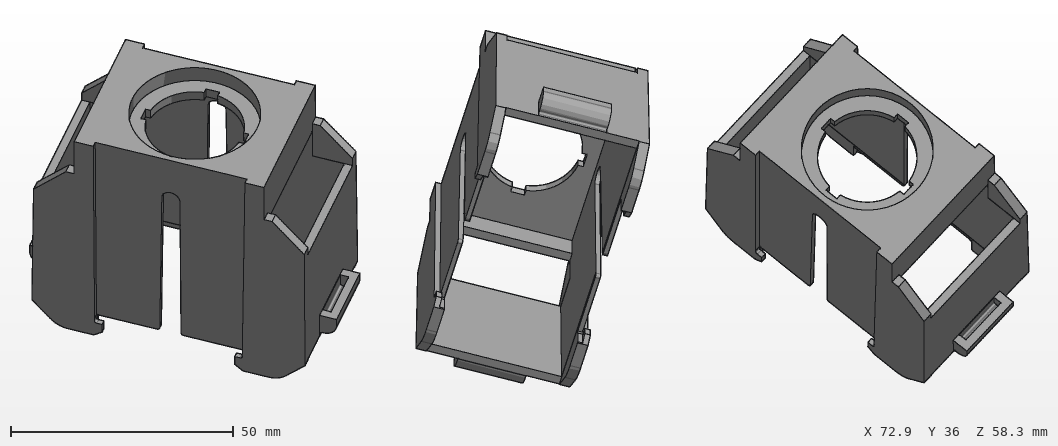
import cadquery as cq
import math

DRAFT = math.tan(math.radians(0.5))

HEIGHT = 58.25
OVERALL_LENGTH = 72.9
BASE_WIDTH = 36.0

block_half_x = 22.5
flank_half_x = 32.0
body_half_y = BASE_WIDTH / 2 - DRAFT * HEIGHT
panel_half_y = 16.2
slot_half_x = 2.05
cavity_half_y = 15.0
wall_cavity_half_x = 30.0
block_cavity_half_x = 20.5

shoulder_z = 48.3
shoulder_half_x = 24.5
flank_chamfer_z = 40.5
foot_chamfer_z = 6.3
foot_round_radius = 5.8
panel_bottom_z = 5.2
end_wall_bottom_z = 6.5
end_wall_top_z = 38.35
window_top_z = 46.0
window_half_y = 15.2

recess_half_x = 18.0
slot_top_z = 48.3
slot_corner_radius = 0.7

hook_half_x = 15.75
hook_top_z = 3.85
hook_nose_z = 1.45
hook_base_half_x = 17.7
hook_root_radius = 0.5

counterbore_radius = 14.8
counterbore_depth = 4.0
ring_thickness = 2.4
bore_radius = 11.15
key_width = 3.2
key_reach = 12.25

latch_half_y = 7.95
latch_thickness = 2.0
latch_top_z = 12.8
latch_bottom_z = 7.65
latch_round_radius = 3.2
latch_root_radius = 0.5
latch_root_x = 32.5
latch_inside_x = latch_root_x - latch_thickness / 2

ceiling_z = HEIGHT - counterbore_depth - ring_thickness


def leaning(half_at_top, z):
    """Half size at height z of a shape that widens downwards with the draft."""
    return half_at_top + DRAFT * (HEIGHT - z)


def recess_half(z):
    """Half width at height z of the panel recess, which narrows downwards."""
    return recess_half_x - DRAFT * (HEIGHT - z)


def front_trapezoid(bottom_half_x, top_half_x):
    """Full-width prism along Y from the panel bottom up to the top face."""
    return (
        cq.Workplane("XZ")
        .moveTo(-bottom_half_x, panel_bottom_z)
        .lineTo(bottom_half_x, panel_bottom_z)
        .lineTo(top_half_x, HEIGHT)
        .lineTo(-top_half_x, HEIGHT)
        .close()
        .extrude(BASE_WIDTH / 2, both=True)
    )


def drafted_box(half_x, half_y, bottom, top):
    """Box from bottom to top whose four sides lean outward downwards."""
    lower = (2 * leaning(half_x, bottom), 2 * leaning(half_y, bottom))
    upper = (2 * leaning(half_x, top), 2 * leaning(half_y, top))
    return (
        cq.Workplane("XY").workplane(offset=bottom).rect(*lower)
        .workplane(offset=top - bottom).rect(*upper).loft(ruled=True)
    )


def both_ends(shape):
    """Join a shape on the +X side with its mirror image on the -X side."""
    return shape.union(shape.mirror("YZ"))


def flank():
    """One flank with its hooked foot, spanning the full width."""
    foot_x = leaning(flank_half_x, foot_chamfer_z)
    foot_corner_x = foot_x - foot_chamfer_z
    half_arc = math.radians(45) / 2
    tangent = foot_round_radius * math.tan(half_arc)
    arc_start = (foot_corner_x + tangent / math.sqrt(2), tangent / math.sqrt(2))
    arc_end = (foot_corner_x - tangent, 0)
    arc_middle = (
        arc_end[0] + foot_round_radius * math.sin(half_arc),
        foot_round_radius * (1 - math.cos(half_arc)),
    )
    inner_x = recess_half(hook_top_z)
    return (
        cq.Workplane("XZ")
        .moveTo(0, shoulder_z)
        .lineTo(shoulder_half_x, shoulder_z)
        .lineTo(leaning(flank_half_x, flank_chamfer_z), flank_chamfer_z)
        .lineTo(foot_x, foot_chamfer_z)
        .lineTo(*arc_start)
        .threePointArc(arc_middle, arc_end)
        .lineTo(hook_base_half_x, 0)
        .lineTo(hook_half_x, hook_nose_z)
        .lineTo(hook_half_x, hook_top_z)
        .lineTo(inner_x - hook_root_radius, hook_top_z)
        .radiusArc((inner_x, hook_top_z + hook_root_radius), -hook_root_radius)
        .lineTo(inner_x, panel_bottom_z)
        .lineTo(0, panel_bottom_z)
        .close()
        .extrude(BASE_WIDTH / 2, both=True)
    )


def outer_body():
    """Block and flanks, with the long sides trimmed to the draft."""
    block = front_trapezoid(leaning(block_half_x, panel_bottom_z), block_half_x)
    envelope = drafted_box(OVERALL_LENGTH, body_half_y, 0, HEIGHT)
    return block.union(both_ends(flank())).intersect(envelope)


def panel_recesses():
    """Shallow recesses that set the central panels back from the flanks."""
    opening = front_trapezoid(recess_half(panel_bottom_z), recess_half_x)
    return opening.cut(drafted_box(OVERALL_LENGTH, panel_half_y, 0, HEIGHT))


def cavity():
    """Hollow interior, open at the bottom and out through the end windows."""
    low = drafted_box(wall_cavity_half_x, cavity_half_y, 0, end_wall_top_z)
    middle = drafted_box(block_half_x, cavity_half_y, end_wall_top_z, window_top_z)
    high = drafted_box(block_cavity_half_x, cavity_half_y, window_top_z, ceiling_z)
    return low.union(middle).union(high)


def end_openings():
    """Space above each end wall and the clearance below it."""
    above = cq.Workplane("XY").workplane(offset=end_wall_top_z).rect(OVERALL_LENGTH, 2 * window_half_y)
    above = above.extrude(HEIGHT - end_wall_top_z).cut(drafted_box(block_half_x, BASE_WIDTH, 0, HEIGHT))
    below = cq.Workplane("XY").box(
        OVERALL_LENGTH / 2, 2 * leaning(cavity_half_y, 0), end_wall_bottom_z,
        centered=(False, True, False),
    )
    return above.union(both_ends(below))


def hook_relief():
    """Trim that leaves the hooks only as deep as the panel recesses."""
    return cq.Workplane("XY").box(
        2 * recess_half(0), 2 * leaning(panel_half_y, 0), panel_bottom_z,
        centered=(True, True, False),
    )


def panel_slot():
    """Round-topped slot through both panels with rounded lower corners."""
    arc_z = slot_top_z - slot_half_x
    arc_half_x = leaning(slot_half_x, arc_z)
    mouth_half_x = leaning(slot_half_x, panel_bottom_z)
    r = slot_corner_radius
    return (
        cq.Workplane("XZ")
        .moveTo(-mouth_half_x - r, panel_bottom_z)
        .radiusArc((-mouth_half_x, panel_bottom_z + r), -r)
        .lineTo(-arc_half_x, arc_z)
        .threePointArc((0, slot_top_z), (arc_half_x, arc_z))
        .lineTo(mouth_half_x, panel_bottom_z + r)
        .radiusArc((mouth_half_x + r, panel_bottom_z), -r)
        .close()
        .extrude(BASE_WIDTH / 2, both=True)
    )


def mounting_hole():
    """Counterbored hole with four key notches."""
    through = HEIGHT - ceiling_z
    top = cq.Workplane("XY").workplane(offset=HEIGHT)
    hole = top.circle(counterbore_radius).extrude(-counterbore_depth)
    hole = hole.union(top.circle(bore_radius).extrude(-through))
    hole = hole.union(top.rect(2 * key_reach, key_width).extrude(-through))
    return hole.union(top.rect(key_width, 2 * key_reach).extrude(-through))


def latch_section(inset):
    """Start of a latch's X-Z outline: inner top corner round to the underside, moved in by inset."""
    outer_x = OVERALL_LENGTH / 2 - inset
    bottom = latch_bottom_z + inset
    radius = latch_round_radius - inset
    return (
        cq.Workplane("XZ")
        .moveTo(latch_inside_x, latch_top_z)
        .lineTo(outer_x, latch_top_z)
        .lineTo(outer_x, bottom + radius)
        .radiusArc((outer_x - radius, bottom), radius)
    )


def latch():
    """Latch bar: a rounded trough standing out from the end wall."""
    r = latch_root_radius
    solid = (
        latch_section(0)
        .lineTo(latch_root_x + r, latch_bottom_z)
        .radiusArc((latch_root_x, latch_bottom_z - r), -r)
        .lineTo(latch_root_x, end_wall_bottom_z)
        .lineTo(latch_inside_x, end_wall_bottom_z)
        .close()
        .extrude(latch_half_y, both=True)
    )
    floor_z = latch_bottom_z + latch_thickness
    trough = (
        latch_section(latch_thickness)
        .lineTo(latch_root_x + r, floor_z)
        .radiusArc((latch_root_x, floor_z + r), r)
        .lineTo(latch_root_x, latch_top_z)
        .close()
        .extrude(latch_half_y - latch_thickness, both=True)
    )
    return solid.cut(trough)


result = (
    outer_body()
    .cut(panel_recesses())
    .cut(cavity())
    .cut(end_openings())
    .cut(hook_relief())
    .cut(panel_slot())
    .cut(mounting_hole())
    .union(both_ends(latch()))
)